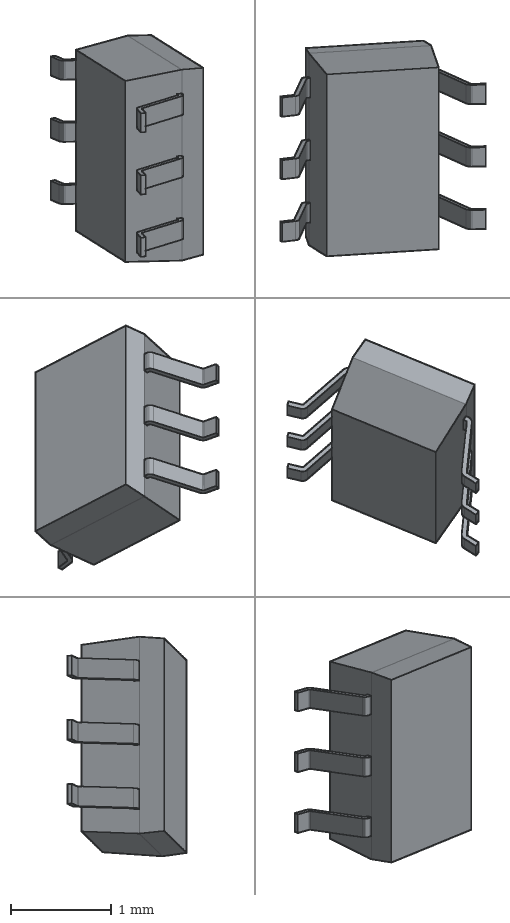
import cadquery as cq
import math

overall_height = 0.9
body_width = 1.25
body_length = 2.0
upper_height = 0.25
lower_height = 0.596
draft_angle = 5
parting_y = overall_height - upper_height

lead_span = 2.1
lead_width = 0.2
lead_pitch = 0.65
leads_per_side = 3
lead_thickness = 0.05
inner_bend_radius = 0.015
flat_end_x = 0.647
leg_angle = 70
foot_angle = 10


def drafted_half(plane, plane_width, plane_height, depth):
    """Half of the body, grown from the parting plane along the normal of the given plane."""
    parting = cq.Workplane(plane, origin=(0, parting_y, 0)).rect(plane_width, plane_height)
    return parting.extrude(depth, taper=draft_angle)


def make_body():
    """Two drafted halves, both tapering away from the parting plane."""
    lower = drafted_half("XZ", body_width, body_length, lower_height)
    upper = drafted_half("ZX", body_length, body_width, upper_height)
    return lower.union(upper, clean=False).solids()


def make_lead_profile():
    """Outline in the XY plane of a lead on the +X side."""
    leg = math.radians(leg_angle)
    foot = math.radians(foot_angle)
    half_thickness = lead_thickness / 2
    outer_bend_radius = inner_bend_radius + lead_thickness
    middle_radius = inner_bend_radius + half_thickness

    run = lead_span / 2 - half_thickness * math.sin(foot) - flat_end_x
    drop = parting_y - half_thickness * (1 + math.cos(foot))

    straight_run = run - middle_radius * (2 * math.sin(leg) - math.sin(foot))
    straight_drop = drop - middle_radius * (1 + math.cos(foot) - 2 * math.cos(leg))
    leg_length = (
        straight_drop * math.cos(foot) - straight_run * math.sin(foot)
    ) / math.sin(leg - foot)
    foot_length = (straight_run - leg_length * math.cos(leg)) / math.cos(foot)

    shoulder_centre = cq.Vector(flat_end_x, parting_y - outer_bend_radius)
    ankle_centre = shoulder_centre + cq.Vector(
        2 * middle_radius * math.sin(leg) + leg_length * math.cos(leg),
        2 * middle_radius * math.cos(leg) - leg_length * math.sin(leg),
    )
    toe_step = cq.Vector(math.cos(foot), -math.sin(foot)) * foot_length

    def on_shoulder(radius, angle):
        return shoulder_centre + cq.Vector(math.sin(angle), math.cos(angle)) * radius

    def on_ankle(radius, angle):
        return ankle_centre - cq.Vector(math.sin(angle), math.cos(angle)) * radius

    root_top = cq.Vector(body_width / 2, parting_y)
    root_setback = lead_thickness * math.tan(math.radians(draft_angle))
    root_bottom = root_top - cq.Vector(root_setback, lead_thickness)
    mid_shoulder = leg / 2
    mid_ankle = (leg + foot) / 2

    shoulder_outer = [on_shoulder(outer_bend_radius, angle) for angle in (0, mid_shoulder, leg)]
    shoulder_inner = [on_shoulder(inner_bend_radius, angle) for angle in (leg, mid_shoulder, 0)]
    ankle_inner = [on_ankle(inner_bend_radius, angle) for angle in (leg, mid_ankle, foot)]
    ankle_outer = [on_ankle(outer_bend_radius, angle) for angle in (foot, mid_ankle, leg)]
    toe_top = ankle_inner[-1] + toe_step
    toe_bottom = ankle_outer[0] + toe_step

    return (
        cq.Workplane("XY")
        .polyline([root_top, shoulder_outer[0]])
        .threePointArc(*shoulder_outer[1:])
        .polyline([ankle_inner[0]], includeCurrent=True)
        .threePointArc(*ankle_inner[1:])
        .polyline([toe_top, toe_bottom, ankle_outer[0]], includeCurrent=True)
        .threePointArc(*ankle_outer[1:])
        .polyline([shoulder_inner[0]], includeCurrent=True)
        .threePointArc(*shoulder_inner[1:])
        .polyline([root_bottom, root_top], includeCurrent=True)
        .wire()
    )


def make_leads():
    """Every lead as its own solid, in mirrored pairs along the length."""
    right_lead = make_lead_profile().extrude(lead_width / 2, both=True)
    left_lead = right_lead.mirror("YZ")
    leads = []
    for index in range(leads_per_side):
        z = (index - (leads_per_side - 1) / 2) * lead_pitch
        for lead in (right_lead, left_lead):
            leads.append(lead.translate((0, 0, z)).solids().val())
    return leads


body = make_body()
leads = make_leads()
result = cq.Compound.makeCompound([body.val(), *leads])